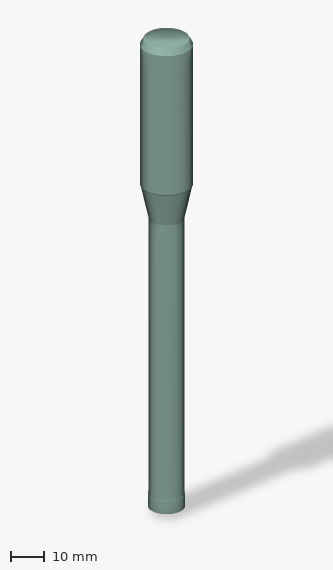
import cadquery as cq

overall_length = 157.0
point_height = 2.0
tip_height = 6.5
neck_top = 97.7
taper_top = 108.5
shank_bottom = 109.0
top_chamfer_height = 2.0

shank_radius = 7.93
top_chamfer_width = 1.1
taper_top_radius = 7.7
neck_radius = 5.3
tip_radius = 5.5


def revolve_profile(points):
    """Turn a closed (radius, height) outline about the Z axis."""
    return cq.Workplane("XZ").polyline(points).close().revolve(360, (0, 0, 0), (0, 1, 0))


def make_holder():
    """Shank chamfered at both ends, conical taper and long slender neck."""
    return revolve_profile([
        (0, tip_height),
        (neck_radius, tip_height),
        (neck_radius, neck_top),
        (taper_top_radius, taper_top),
        (shank_radius, shank_bottom),
        (shank_radius, overall_length - top_chamfer_height),
        (shank_radius - top_chamfer_width, overall_length),
        (0, overall_length),
    ])


def make_cutting_tip():
    """Short cylindrical tip with a conical point, seated on the neck end."""
    return revolve_profile([
        (0, 0),
        (tip_radius, point_height),
        (tip_radius, tip_height),
        (0, tip_height),
    ])


holder = make_holder()
cutting_tip = make_cutting_tip()

result = cq.Compound.makeCompound([holder.val(), cutting_tip.val()])